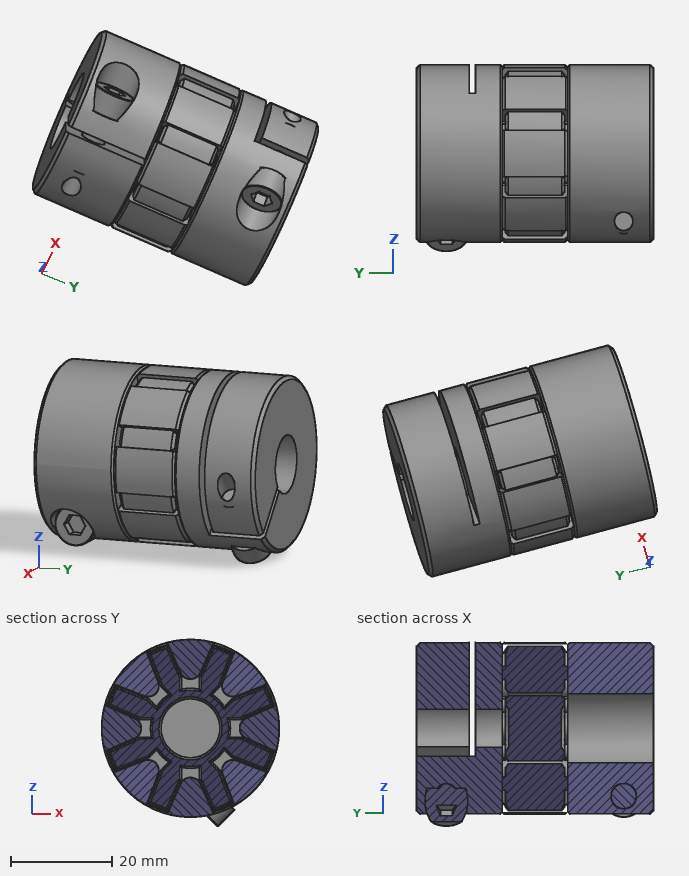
import cadquery as cq
import math


coupling_length = 46.75
outer_radius = 17.55

hub_length = 16.9
end_chamfer = 0.7
face_chamfer = 0.4
front_bore_radius = 8.15
back_bore_radius = 5.85
clamp_slot_width = 1.3

relief_slot_top = 13.98

cross_slot_start = 10.4
cross_slot_width = 1.15

jaws_per_hub = 4
jaw_count = 2 * jaws_per_hub
jaw_pitch = 360 / jaw_count
jaw_length = coupling_length - 2 * hub_length
jaw_nose_radius = 2.15
jaw_nose_centre = 11.83
jaw_flank_angle = math.radians(24)
jaw_root_chamfer = 0.4
jaw_tip_chamfer = 0.55

spider_thickness = 11.7
spider_chamfer = 0.6
spider_core_radius = 7.9
spider_leg_radius = 16.83
spider_leg_clearance = 0.2
spider_recess_radius = 6.45
spider_recess_depth = 0.65
spider_notch_half_width = 1.75
peg_radius = 1.35
peg_circle_radius = 11.8
peg_height = (jaw_length - spider_thickness) / 2

screw_y = 5.9
screw_z = -13.35
thread_radius = 2.45
thread_end_x = -7.5
head_radius = 4.15
head_chamfer = 0.15
head_seat_x = 5.25
head_end_x = 9.9
socket_across_flats = 3.93
socket_depth = 2.35
screw_exit_radius = 1.8

beyond = outer_radius + 2.35


def section_plane(y):
    """Workplane across the coupling axis at position y; a negative extrusion runs towards +Y."""
    return cq.Workplane("XZ", origin=(0, y, 0))


def along_x(x):
    """Workplane across the clamp screw axis at position x."""
    return cq.Workplane("YZ", origin=(x, screw_y, screw_z))


def turn(body, angle):
    """Turn a body about the coupling axis, positive from +Z towards +X."""
    return body.rotate((0, 0, 0), (0, 1, 0), angle)


def chamfered_disc(y, length, near_chamfer, far_chamfer):
    """Cylinder of the outer diameter with a chamfer at each end."""
    disc = section_plane(y).circle(outer_radius).extrude(-length)
    return disc.faces("<Y").chamfer(near_chamfer).faces(">Y").chamfer(far_chamfer)


def flank_offset(radius):
    """Half width of a jaw flank line at a distance from the axis, measured along the jaw."""
    return jaw_nose_radius / math.cos(jaw_flank_angle) + (radius - jaw_nose_centre) * math.tan(jaw_flank_angle)



def make_jaws():
    """Jaws on the inner face of the front hub, on every second place, none of them at +Z."""
    tangent_x = jaw_nose_radius * math.cos(jaw_flank_angle)
    tangent_z = jaw_nose_centre - jaw_nose_radius * math.sin(jaw_flank_angle)
    blank = (
        section_plane(hub_length)
        .moveTo(flank_offset(beyond), beyond)
        .lineTo(tangent_x, tangent_z)
        .threePointArc((0, jaw_nose_centre - jaw_nose_radius), (-tangent_x, tangent_z))
        .lineTo(-flank_offset(beyond), beyond)
        .close()
        .extrude(-jaw_length)
    )
    envelope = chamfered_disc(hub_length, jaw_length, jaw_root_chamfer, jaw_tip_chamfer)
    jaw = blank.intersect(envelope)
    return [turn(jaw, (2 * i + 1) * jaw_pitch) for i in range(jaws_per_hub)]


def clamp_slot(length):
    """Radial slot from the axis out through the -Z side."""
    return section_plane(0).center(0, -beyond / 2).rect(clamp_slot_width, beyond).extrude(-length)


def screw_hole():
    """Head pocket, thread hole and smaller exit hole for the clamp screw."""
    exit_hole = along_x(-beyond).circle(screw_exit_radius).extrude(beyond)
    thread_hole = along_x(thread_end_x).circle(thread_radius).extrude(head_seat_x - thread_end_x)
    pocket = along_x(head_seat_x).circle(head_radius).extrude(beyond)
    return exit_hole.union(thread_hole).union(pocket)


def make_hub(bore_radius, slot_length):
    """Clamping hub at the -Y end, with its jaws, bore, clamp slot and screw hole."""
    hub = chamfered_disc(0, hub_length, end_chamfer, face_chamfer)
    for jaw in make_jaws():
        hub = hub.union(jaw)
    hub = hub.cut(section_plane(0).circle(bore_radius).extrude(-hub_length))
    return hub.cut(clamp_slot(slot_length)).cut(screw_hole())


def relief_slot():
    """Slot above the bore with a floor sloping at 45 degrees from the end face to the axis."""
    return (
        cq.Workplane("YZ")
        .polyline([(0, 0), (0, relief_slot_top), (relief_slot_top, 0)])
        .close()
        .extrude(clamp_slot_width / 2, both=True)
    )


def cross_slot():
    """Slot across the hub, freeing the half on the -X side up to the far wall of the clamp slot."""
    return (
        cq.Workplane()
        .box(beyond, cross_slot_width, 2 * beyond, centered=(False, False, True))
        .translate((clamp_slot_width / 2 - beyond, cross_slot_start, 0))
    )


def to_back(body):
    """Move a body from the front end to the back end, turned by one jaw pitch to mesh."""
    turned_round = body.rotate((0, 0, 0), (0, 0, 1), 180).translate((0, coupling_length, 0))
    return turn(turned_round, -jaw_pitch)



def make_spider():
    """Disc with one leg between each pair of jaws, recessed centre and a spacer peg on each leg face."""
    start_y = (coupling_length - spider_thickness) / 2
    flare_end_x = flank_offset(beyond) + spider_leg_clearance / math.cos(jaw_flank_angle)
    flare_length = (flare_end_x - spider_notch_half_width) / math.tan(jaw_flank_angle)
    flare_start = beyond - flare_length
    notch = (
        section_plane(start_y)
        .polyline([
            (-spider_notch_half_width, 0),
            (-spider_notch_half_width, flare_start),
            (-flare_end_x, beyond),
            (flare_end_x, beyond),
            (spider_notch_half_width, flare_start),
            (spider_notch_half_width, 0),
        ])
        .close()
        .extrude(-spider_thickness)
    )
    spider = section_plane(start_y).circle(spider_leg_radius).extrude(-spider_thickness)
    for i in range(jaw_count):
        spider = spider.cut(turn(notch, i * jaw_pitch))
    spider = spider.union(section_plane(start_y).circle(spider_core_radius).extrude(-spider_thickness))
    spider = spider.faces("<Y or >Y").chamfer(spider_chamfer)

    recess = cq.Workplane(cq.Solid.makeCone(
        spider_recess_radius, spider_recess_radius - spider_recess_depth, spider_recess_depth,
        cq.Vector(0, start_y, 0), cq.Vector(0, 1, 0),
    ))
    peg = section_plane(hub_length).center(0, peg_circle_radius).circle(peg_radius).extrude(-peg_height)
    far_face_shift = (0, spider_thickness + peg_height, 0)
    mid_plane_point = (0, coupling_length / 2, 0)
    spider = spider.cut(recess).cut(recess.mirror("XZ", mid_plane_point))
    for i in range(jaw_count):
        leg_peg = turn(peg, (i + 0.5) * jaw_pitch)
        spider = spider.union(leg_peg).union(leg_peg.translate(far_face_shift))
    return spider



def make_screw():
    """Socket head screw of the front hub, head towards +X."""
    head = along_x(head_seat_x).circle(head_radius).extrude(head_end_x - head_seat_x)
    head = head.faces(">X").chamfer(head_chamfer)
    thread = along_x(thread_end_x).circle(thread_radius).extrude(head_seat_x - thread_end_x)
    corner_diameter = socket_across_flats / math.cos(math.pi / 6)
    socket = along_x(head_end_x).polygon(6, corner_diameter).extrude(-socket_depth)
    return head.union(thread).cut(socket)



front_hub = make_hub(front_bore_radius, hub_length).cut(relief_slot())
back_hub = to_back(make_hub(back_bore_radius, cross_slot_start + cross_slot_width).cut(cross_slot()))
spider = make_spider()
front_screw = make_screw()
back_screw = to_back(make_screw())

result = cq.Compound.makeCompound([
    front_hub.val(),
    back_hub.val(),
    spider.val(),
    front_screw.val(),
    back_screw.val(),
])